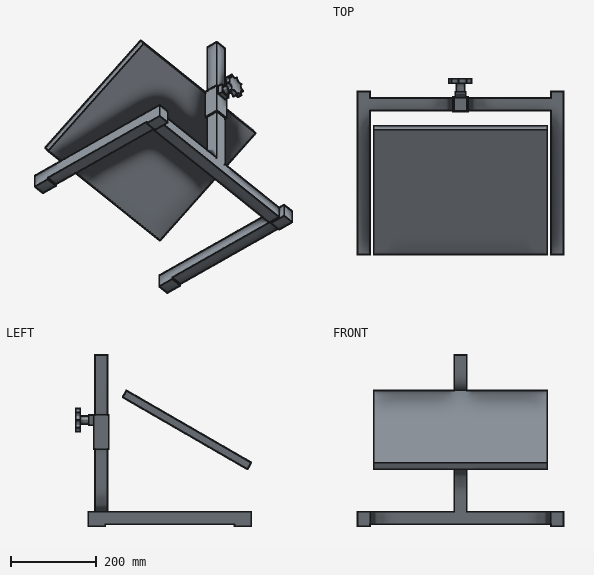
import cadquery as cq
import math

frame_width = 480
frame_height = 400.0
leg_length = 380.0
bar_size = 30.0
foot_drop = 5.0
foot_length = 40.0
post_setback = 15.5

collar_wall = 3.0
collar_bottom = 180.0
collar_height = 80.0

boss_size = 25.0
boss_length = 11.0
shaft_diameter = 20.0
knob_radius = 27.5
knob_thickness = 11.0
knob_rear = 409.5
scallop_count = 9
scallop_radius = 9.5
scallop_center_radius = 30.0

board_width = 405.0
board_length = 336
board_thickness = 18.0
board_tilt = 30
board_top = 317.0

leg_top = foot_drop + bar_size
leg_offset = (frame_width - bar_size) / 2
post_rear = leg_length - post_setback
post_center = post_rear - bar_size / 2
collar_size = bar_size + 2 * collar_wall
collar_rear = post_rear + collar_wall
boss_center = collar_bottom + collar_height - boss_size / 2
knob_front = knob_rear - knob_thickness


def block(x_size, y_size, z_size, x_center, y_front, z_bottom):
    """Box centred in X, placed by its front face and its underside."""
    return cq.Workplane("XY").box(x_size, y_size, z_size, centered=(True, False, False)).translate(
        (x_center, y_front, z_bottom)
    )


def cylinder_along_y(radius, length, x_center, y_front, z_center):
    """Cylinder that runs toward +Y from its front face."""
    return cq.Workplane(cq.Solid.makeCylinder(
        radius, length, cq.Vector(x_center, y_front, z_center), cq.Vector(0, 1, 0)
    ))


def make_leg(x_center):
    """Side leg with a shallow relief underneath that leaves a foot at each end."""
    leg = block(bar_size, leg_length, leg_top, x_center, 0, 0)
    relief_length = leg_length - 2 * foot_length
    return leg.cut(block(bar_size, relief_length, foot_drop, x_center, foot_length, 0))


def make_collar():
    """Square sleeve around the post."""
    collar_front = collar_rear - collar_size
    return block(collar_size, collar_size, collar_height, 0, collar_front, collar_bottom)


def make_knob():
    """Square boss, round shaft and scalloped hand wheel."""
    boss = block(boss_size, boss_length, boss_size, 0, collar_rear, boss_center - boss_size / 2)
    shaft_length = knob_front - collar_rear
    shaft = cylinder_along_y(shaft_diameter / 2, shaft_length, 0, collar_rear, boss_center)
    wheel = cylinder_along_y(knob_radius, knob_thickness, 0, knob_front, boss_center)
    for index in range(scallop_count):
        angle = 2 * math.pi * index / scallop_count
        scallop_x = scallop_center_radius * math.cos(angle)
        scallop_z = boss_center + scallop_center_radius * math.sin(angle)
        wheel = wheel.cut(
            cylinder_along_y(scallop_radius, knob_thickness, scallop_x, knob_front, scallop_z)
        )
    return boss.union(shaft).union(wheel)


def make_frame():
    """Stand with legs, crossbar, post, collar and knob in one piece."""
    post_front = post_center - bar_size / 2
    crossbar = block(2 * leg_offset, bar_size, bar_size, 0, post_front, foot_drop)
    post = block(bar_size, bar_size, frame_height - foot_drop, 0, post_front, foot_drop)
    stand = crossbar.union(post)
    for side in (-1, 1):
        stand = stand.union(make_leg(side * leg_offset))
    return stand.union(make_collar()).union(make_knob())


def make_board():
    """Flat board that slopes down to the front, its front edge level with the leg ends."""
    tilt = math.radians(board_tilt)
    depth = board_length * math.cos(tilt) + board_thickness * math.sin(tilt)
    height = board_length * math.sin(tilt) + board_thickness * math.cos(tilt)
    flat_board = cq.Workplane("XY").box(board_width, board_length, board_thickness)
    tilted_board = flat_board.rotate((0, 0, 0), (1, 0, 0), board_tilt)
    return tilted_board.translate((0, depth / 2, board_top - height / 2))


frame = make_frame()
board = make_board()
result = cq.Compound.makeCompound([frame.val(), board.val()])